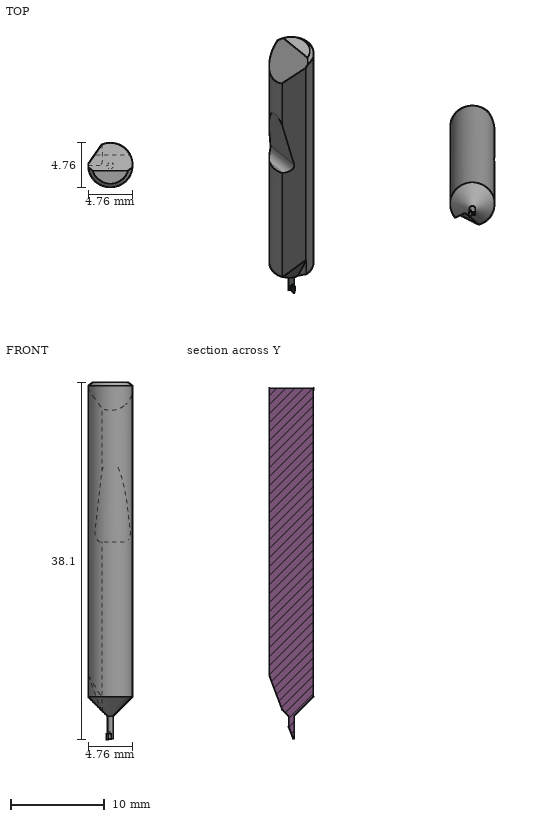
import cadquery as cq
import math

total_length = 38.1
shank_diameter = 4.76
shank_radius = shank_diameter / 2
top_chamfer = 0.4
cone_base_z = 4.6
neck_radius = 0.32
neck_end_z = 0.1
cone_tip_z = cone_base_z - (shank_radius - neck_radius)

top_slope_edge_y = -0.59

flat_angle = 145.0
flat_distance = 2.015

notch_start_z = 29.9
notch_floor_z = 21.1
notch_ramp_angle = 9.3
notch_corner_radius = 1.0

relief_azimuth = 165.0
relief_tilt = 20.0
shank_relief_start_z = 6.85
neck_relief_start_z = 1.0

tooth_top_z = 0.65
tooth_tip_x = -0.45
tooth_heel = (-0.22, -0.335)
tooth_tail = (0.08, -0.335)
tooth_end_relief_angle = 10.0

overcut = 1.0
cut_width = 2 * (shank_radius + overcut)


def extrude_along_x(points, start_x, length):
    """Extrude a closed (y, z) polygon from start_x in the +X direction."""
    return cq.Workplane("YZ", origin=(start_x, 0, 0)).polyline(points).close().extrude(length)


def make_body():
    """Revolve the neck, cone and chamfered shank about Z."""
    profile = [
        (0, neck_end_z),
        (neck_radius, neck_end_z),
        (neck_radius, cone_tip_z),
        (shank_radius, cone_base_z),
        (shank_radius, total_length - top_chamfer),
        (shank_radius - top_chamfer, total_length),
        (0, total_length),
    ]
    return cq.Workplane("XZ").polyline(profile).close().revolve(360, (0, 0), (0, 1))


def make_top_slope():
    """Wedge that bevels the top end at 45 degrees."""
    outer_y = shank_radius + overcut
    points = [
        (top_slope_edge_y - overcut, total_length + overcut),
        (outer_y, total_length + overcut),
        (outer_y, total_length - (outer_y - top_slope_edge_y)),
    ]
    return extrude_along_x(points, -cut_width / 2, cut_width)


def make_long_flat():
    """Block that cuts the flat over the full length."""
    block = cq.Workplane("XY").box(overcut, cut_width, total_length, centered=(False, True, False))
    return block.translate((flat_distance, 0, 0)).rotate((0, 0, 0), (0, 0, 1), flat_angle)


def make_clamping_notch():
    """Notch that deepens slowly toward the tip and ends in a rounded shoulder."""
    outer_y = shank_radius + overcut
    ramp_slope = math.tan(math.radians(notch_ramp_angle))
    deepest_y = shank_radius - (notch_start_z - notch_floor_z) * ramp_slope
    points = [
        (outer_y, notch_start_z + overcut / ramp_slope),
        (deepest_y, notch_floor_z),
        (outer_y, notch_floor_z),
    ]
    sharp_notch = extrude_along_x(points, -cut_width / 2, cut_width)
    inner_corner = cq.selectors.NearestToPointSelector((0, deepest_y, notch_floor_z))
    return sharp_notch.edges("|X").edges(inner_corner).fillet(notch_corner_radius)


def make_relief(start_radius, start_z):
    """Cut the +Y half outside a plane that starts on the -X side and leans in toward the tip."""
    azimuth = math.radians(relief_azimuth)
    tilt = math.radians(relief_tilt)
    normal = (
        math.cos(tilt) * math.cos(azimuth),
        math.cos(tilt) * math.sin(azimuth),
        -math.sin(tilt),
    )
    plane = cq.Plane(origin=(-start_radius, 0, start_z), xDir=(0, 0, 1), normal=normal)
    outside = cq.Workplane(plane).rect(total_length, total_length).extrude(shank_diameter)
    half_space = cq.Workplane("XY", origin=(0, 0, -overcut)).box(
        cut_width, shank_radius + overcut, start_z + overcut, centered=(True, False, False)
    )
    return outside.intersect(half_space)


def make_tooth():
    """Small tooth with its rake face on Y = 0 and its lowest point at the tip corner."""
    outline = [(tooth_tip_x, 0), tooth_heel, tooth_tail, (tooth_tail[0], 0)]
    tooth = cq.Workplane("XY").polyline(outline).close().extrude(tooth_top_z)
    tooth_width = tooth_tail[0] - tooth_tip_x
    rise = tooth_width * math.tan(math.radians(tooth_end_relief_angle))
    end_relief = (
        cq.Workplane("XZ", origin=(0, overcut, 0))
        .polyline([(tooth_tip_x, 0), (tooth_tail[0], rise), (tooth_tail[0], 0)])
        .close()
        .extrude(2 * overcut)
    )
    return tooth.cut(end_relief)


result = (
    make_body()
    .cut(make_top_slope())
    .cut(make_long_flat())
    .cut(make_clamping_notch())
    .cut(make_relief(shank_radius, shank_relief_start_z))
    .cut(make_relief(neck_radius, neck_relief_start_z))
    .union(make_tooth())
)